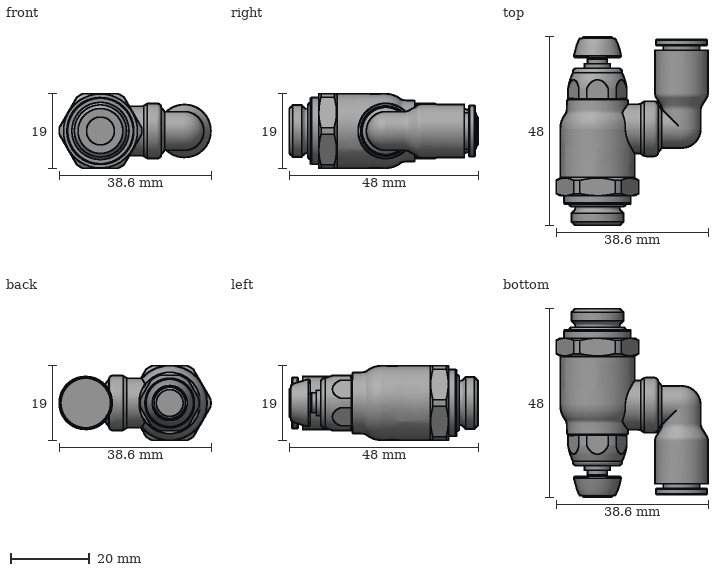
import cadquery as cq
import math


THREAD_CHAMFER_Y = 0.95
THREAD_TOP_Y = 3.15
NECK_FLARE_Y = 3.85
NECK_Y = 4.3
FLANGE_Y = 5.4
HEX_BOTTOM_Y = 7.5
HEX_TOP_Y = 12.2
WEDGE_TIP_Y = 19.4
BRANCH_Y = 24.55
SHOULDER_TOP_Y = 28.25
COLLAR_BOTTOM_Y = 29.2
COLLAR_TOP_Y = 31.95
CAP_BOTTOM_Y = 32.25
CAP_TAPER_Y = 34.85
CAP_ROUND_Y = 38.8
CAP_TOP_Y = 40.0
STEM_STEP_Y = 41.1
STEM_CHAMFER_Y = 42.2
STEM_TOP_Y = 42.55
KNOB_RIM_Y = 43.15
KNOB_TOP_Y = 48.0

THREAD_R = 6.63
THREAD_END_R = 5.7
NECK_R = 5.7
NECK_FLARE_R = 5.9
BORE_R = 3.55
BORE_DEPTH = HEX_TOP_Y
FLANGE_R = 8.52
FLANGE_CHAMFER_R = 0.2
FLANGE_CHAMFER_H = 0.33
SEAL_RING_R = 6.4
SEAL_TUBE_R = 0.9
SEAL_Y = 5.62

HEX_FLATS = 19.0
HEX_CORNER_R = 10.5
HEX_TOP_CHAMFER_R = 1.3
HEX_TOP_CHAMFER_H = 0.75
HEX_BOTTOM_CHAMFER_R = 1.1
HEX_BOTTOM_CHAMFER_H = 0.6

BODY_R = HEX_FLATS / 2
BODY_DRAFT = 0.0013
SHOULDER_TOP_R = 8.2
COLLAR_BOTTOM_R = 7.86
COLLAR_TOP_R = 7.77
COLLAR_EDGE = 0.3
CAP_NECK_R = 6.1

CAP_FLATS = 14.0
CAP_R = 7.5
CAP_ROUND_R = 6.3
CAP_TOP_R = 5.2
CAP_TAPER_MID = (7.03, 36.9)
CAP_ROUND_MID = (6.02, 39.65)

STEM_BASE_R = 3.3
STEM_R = 2.54
STEM_TOP_R = 2.3
KNOB_RIM_R = 6.03
KNOB_RIM_BOTTOM = (5.55, 42.65)
KNOB_RIM_INNER = (5.15, 42.75)
KNOB_FLOOR_R = 5.0
KNOB_FLOOR_Y = 42.85
KNOB_DOME_MID = (5.55, 45.15)
KNOB_DOME_TOP = (4.7, 47.25)
KNOB_SHOULDER = (4.45, 47.55)
KNOB_BUTTON_R = 4.0
KNOB_TOP_R = 3.4

BRANCH_R = 6.3
RING_ROOT_X = 10.57
RING_TAPER_X = 10.98
RING_TAPER_R = 6.4
RING_EDGE_X = 11.85
RING_EDGE_R = 6.95
RING_BEVEL_X = 12.15
RING_BEVEL_R = 7.02
RING_LAND_X = 12.47
RING_R = 7.05
RING_ROUND_X = 14.3
RING_ROUND_END = (15.05, 6.78)
RING_ROUND_MID = (14.7, 6.98)
RING_LIP = (15.4, 6.4)
RING_FACE_R = 6.0
RING_FACE_X = 15.48
ELBOW_START_X = 16.35

LEG_X = 21.35
ELBOW_R = 4.93
LEG_R = 6.75
LEG_CONE_BOTTOM_Y = 29.3
LEG_CONE_ROUND_Y = 30.6
LEG_CONE_ROUND_R = 5.3
LEG_CONE_TOP_Y = 32.45
LEG_CONE_TOP_R = 6.45
LEG_CYLINDER_Y = 33.6
LEG_TOP_Y = 44.55
RELEASE_NECK_R = 4.66
RELEASE_BOTTOM_Y = 45.7
RELEASE_TOP_Y = 47.3
RELEASE_R = 6.5
RELEASE_EDGE = 0.2


def revolve_valve(profile):
    """Revolve a closed (radius, Y) profile about the valve axis."""
    return profile.close().revolve(360, (0, 0, 0), (0, 1, 0))


def hex_prism(flats, y_bottom, y_top):
    """Hexagonal prism along Y with its corners on the X axis."""
    corner_diameter = flats / math.cos(math.pi / 6)
    sketch = cq.Workplane("XZ", origin=(0, y_bottom, 0)).polygon(6, corner_diameter)
    return sketch.extrude(y_bottom - y_top)


def threaded_end():
    profile = (
        cq.Workplane("XY")
        .moveTo(0, 0)
        .lineTo(THREAD_END_R, 0)
        .lineTo(THREAD_R, THREAD_CHAMFER_Y)
        .lineTo(THREAD_R, THREAD_TOP_Y)
        .lineTo(NECK_FLARE_R, NECK_FLARE_Y)
        .tangentArcPoint((NECK_R, NECK_Y), relative=False)
        .lineTo(NECK_R, FLANGE_Y)
        .lineTo(FLANGE_R - FLANGE_CHAMFER_R, FLANGE_Y)
        .lineTo(FLANGE_R, FLANGE_Y + FLANGE_CHAMFER_H)
        .lineTo(FLANGE_R, HEX_BOTTOM_Y)
        .lineTo(0, HEX_BOTTOM_Y)
    )
    seal = (
        cq.Workplane("XY")
        .center(SEAL_RING_R, SEAL_Y)
        .circle(SEAL_TUBE_R)
        .revolve(360, (-SEAL_RING_R, 0, 0), (-SEAL_RING_R, 1, 0))
    )
    return revolve_valve(profile).union(seal)


def spanner_hexagon():
    profile = (
        cq.Workplane("XY")
        .moveTo(0, HEX_BOTTOM_Y)
        .lineTo(HEX_CORNER_R - HEX_BOTTOM_CHAMFER_R, HEX_BOTTOM_Y)
        .lineTo(HEX_CORNER_R, HEX_BOTTOM_Y + HEX_BOTTOM_CHAMFER_H)
        .lineTo(HEX_CORNER_R, HEX_TOP_Y - HEX_TOP_CHAMFER_H)
        .lineTo(HEX_CORNER_R - HEX_TOP_CHAMFER_R, HEX_TOP_Y)
        .lineTo(0, HEX_TOP_Y)
    )
    return revolve_valve(profile).intersect(hex_prism(HEX_FLATS, HEX_BOTTOM_Y, HEX_TOP_Y))


def valve_body():
    """Slightly drafted barrel; the hexagon planes shave six thin wedges off its base."""
    base_r = BODY_R + BODY_DRAFT * (WEDGE_TIP_Y - HEX_TOP_Y)
    barrel_top_r = BODY_R - BODY_DRAFT * (BRANCH_Y - WEDGE_TIP_Y)
    profile = (
        cq.Workplane("XY")
        .moveTo(0, HEX_TOP_Y)
        .lineTo(base_r, HEX_TOP_Y)
        .lineTo(barrel_top_r, BRANCH_Y)
        .tangentArcPoint((SHOULDER_TOP_R, SHOULDER_TOP_Y), relative=False)
        .tangentArcPoint((COLLAR_BOTTOM_R, COLLAR_BOTTOM_Y), relative=False)
        .lineTo(COLLAR_TOP_R, COLLAR_TOP_Y - COLLAR_EDGE)
        .tangentArcPoint((COLLAR_TOP_R - COLLAR_EDGE, COLLAR_TOP_Y), relative=False)
        .lineTo(CAP_NECK_R, COLLAR_TOP_Y)
        .lineTo(CAP_NECK_R, CAP_BOTTOM_Y)
        .lineTo(0, CAP_BOTTOM_Y)
    )
    return revolve_valve(profile).intersect(hex_prism(HEX_FLATS, HEX_TOP_Y, CAP_BOTTOM_Y))


def hexagonal_cap():
    profile = (
        cq.Workplane("XY")
        .moveTo(0, CAP_BOTTOM_Y)
        .lineTo(CAP_R, CAP_BOTTOM_Y)
        .lineTo(CAP_R, CAP_TAPER_Y)
        .threePointArc(CAP_TAPER_MID, (CAP_ROUND_R, CAP_ROUND_Y))
        .threePointArc(CAP_ROUND_MID, (CAP_TOP_R, CAP_TOP_Y))
        .lineTo(0, CAP_TOP_Y)
    )
    return revolve_valve(profile).intersect(hex_prism(CAP_FLATS, CAP_BOTTOM_Y, CAP_TOP_Y))


def knob_and_stem():
    profile = (
        cq.Workplane("XY")
        .moveTo(0, CAP_TOP_Y)
        .lineTo(STEM_BASE_R, CAP_TOP_Y)
        .lineTo(STEM_BASE_R, STEM_STEP_Y)
        .lineTo(STEM_R, STEM_STEP_Y)
        .lineTo(STEM_R, STEM_CHAMFER_Y)
        .lineTo(STEM_TOP_R, STEM_TOP_Y)
        .lineTo(STEM_TOP_R, KNOB_FLOOR_Y)
        .lineTo(KNOB_FLOOR_R, KNOB_FLOOR_Y)
        .lineTo(*KNOB_RIM_INNER)
        .threePointArc(KNOB_RIM_BOTTOM, (KNOB_RIM_R, KNOB_RIM_Y))
        .threePointArc(KNOB_DOME_MID, KNOB_DOME_TOP)
        .lineTo(*KNOB_SHOULDER)
        .lineTo(KNOB_BUTTON_R, KNOB_SHOULDER[1])
        .lineTo(KNOB_TOP_R, KNOB_TOP_Y)
        .lineTo(0, KNOB_TOP_Y)
    )
    return revolve_valve(profile)


def side_branch():
    """Branch with its swivel ring, ending in the ball of the elbow."""
    profile = (
        cq.Workplane("XY", origin=(0, BRANCH_Y, 0))
        .moveTo(0, 0)
        .lineTo(0, BRANCH_R)
        .lineTo(RING_ROOT_X, BRANCH_R)
        .lineTo(RING_TAPER_X, RING_TAPER_R)
        .lineTo(RING_EDGE_X, RING_EDGE_R)
        .lineTo(RING_BEVEL_X, RING_BEVEL_R)
        .lineTo(RING_LAND_X, RING_R)
        .lineTo(RING_ROUND_X, RING_R)
        .threePointArc(RING_ROUND_MID, RING_ROUND_END)
        .lineTo(*RING_LIP)
        .lineTo(RING_FACE_X, RING_FACE_R)
        .lineTo(ELBOW_START_X, ELBOW_R)
        .lineTo(LEG_X, ELBOW_R)
        .tangentArcPoint((LEG_X + ELBOW_R, 0), relative=False)
        .close()
    )
    return profile.revolve(360, (0, 0, 0), (1, 0, 0))


def tube_leg():
    """Upright half of the elbow, tube socket and release ring, revolved about the leg axis."""
    return (
        cq.Workplane("XY", origin=(LEG_X, 0, 0))
        .moveTo(0, BRANCH_Y)
        .lineTo(ELBOW_R, BRANCH_Y)
        .lineTo(ELBOW_R, LEG_CONE_BOTTOM_Y)
        .tangentArcPoint((LEG_CONE_ROUND_R, LEG_CONE_ROUND_Y), relative=False)
        .lineTo(LEG_CONE_TOP_R, LEG_CONE_TOP_Y)
        .tangentArcPoint((LEG_R, LEG_CYLINDER_Y), relative=False)
        .lineTo(LEG_R, LEG_TOP_Y)
        .lineTo(RELEASE_NECK_R, LEG_TOP_Y)
        .lineTo(RELEASE_NECK_R, RELEASE_BOTTOM_Y)
        .lineTo(RELEASE_R - RELEASE_EDGE, RELEASE_BOTTOM_Y)
        .lineTo(RELEASE_R, RELEASE_BOTTOM_Y + RELEASE_EDGE)
        .lineTo(RELEASE_R, RELEASE_TOP_Y - RELEASE_EDGE)
        .lineTo(RELEASE_R - RELEASE_EDGE, RELEASE_TOP_Y)
        .lineTo(0, RELEASE_TOP_Y)
        .close()
        .revolve(360, (0, 0, 0), (0, 1, 0))
    )


def thread_bore():
    return cq.Workplane("XZ").circle(BORE_R).extrude(-BORE_DEPTH)


result = (
    valve_body()
    .union(spanner_hexagon())
    .union(threaded_end())
    .union(hexagonal_cap())
    .union(knob_and_stem())
    .union(side_branch())
    .union(tube_leg())
    .cut(thread_bore())
)